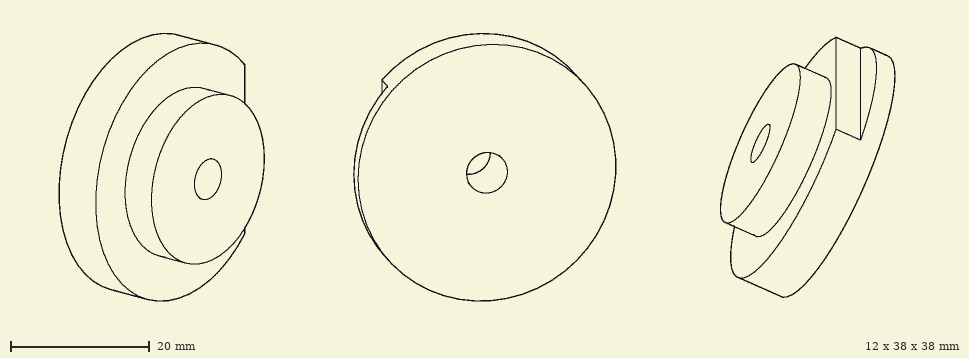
import cadquery as cq

flange_diameter = 38.0
flange_thickness = 7.0
boss_diameter = 25.0
total_length = 12.0
bore_diameter = 6.0
flat_offset = 14.02
rim_thickness = 3.0

flange = cq.Workplane("YZ").circle(flange_diameter / 2).extrude(flange_thickness)
boss = cq.Workplane("YZ").circle(boss_diameter / 2).extrude(total_length)

step_cut = cq.Workplane("XY").box(
    flange_thickness - rim_thickness,
    flange_diameter / 2 - flat_offset,
    flange_diameter,
    centered=(False, False, True),
).translate((rim_thickness, flat_offset, 0))

bore = cq.Workplane("YZ").circle(bore_diameter / 2).extrude(total_length)

result = flange.cut(step_cut).union(boss).cut(bore)